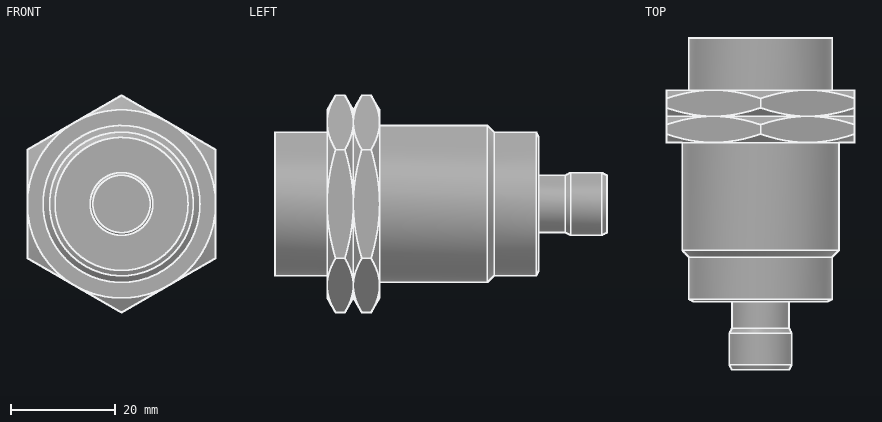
import cadquery as cq
import math

total_length = 63.5
plug_length = 8.0
neck_length = 5.0
rear_length = 8.6
cap_length = 10.0
nut_thickness = 5.0
nut_count = 2

barrel_diameter = 30.05
cap_diameter = 27.5
neck_diameter = 11.0
plug_diameter = 12.0

barrel_chamfer = 1.3
rear_chamfer_length = 0.5
rear_chamfer_depth = 1.0
plug_chamfer_length = 1.0
plug_chamfer_depth = 0.5

across_flats = 36.0
across_corners = across_flats / math.cos(math.pi / 6)
nut_chamfer_angle = math.radians(30)

neck_start = plug_length
rear_start = neck_start + neck_length
barrel_start = rear_start + rear_length
cap_start = total_length - cap_length


def make_body():
    """Revolve the stepped body about the Y axis."""
    barrel_radius = barrel_diameter / 2
    cap_radius = cap_diameter / 2
    neck_radius = neck_diameter / 2
    plug_radius = plug_diameter / 2
    profile = [
        (0, 0),
        (plug_radius - plug_chamfer_depth, 0),
        (plug_radius, plug_chamfer_length),
        (plug_radius, neck_start - plug_chamfer_length),
        (neck_radius, neck_start),
        (neck_radius, rear_start),
        (cap_radius - rear_chamfer_depth, rear_start),
        (cap_radius, rear_start + rear_chamfer_length),
        (cap_radius, barrel_start),
        (barrel_radius, barrel_start + barrel_chamfer),
        (barrel_radius, cap_start),
        (cap_radius, cap_start),
        (cap_radius, total_length),
        (0, total_length),
    ]
    return cq.Workplane("XY").polyline(profile).close().revolve(360, (0, 0), (0, 1))


def make_nut(start):
    """Hexagon nut with corners up and down, chamfered on both faces."""
    end = start + nut_thickness
    face_radius = across_flats / 2
    corner_radius = across_corners / 2
    chamfer_length = (corner_radius - face_radius) * math.tan(nut_chamfer_angle)
    hexagon = (
        cq.Workplane("XZ", origin=(0, end, 0))
        .transformed(rotate=(0, 0, 90))
        .polygon(6, across_corners)
        .extrude(nut_thickness)
    )
    chamfer_profile = [
        (0, start),
        (face_radius, start),
        (corner_radius, start + chamfer_length),
        (corner_radius, end - chamfer_length),
        (face_radius, end),
        (0, end),
    ]
    envelope = cq.Workplane("XY").polyline(chamfer_profile).close().revolve(360, (0, 0), (0, 1))
    return hexagon.intersect(envelope)


result = make_body()
for index in range(nut_count):
    result = result.union(make_nut(cap_start - (index + 1) * nut_thickness))